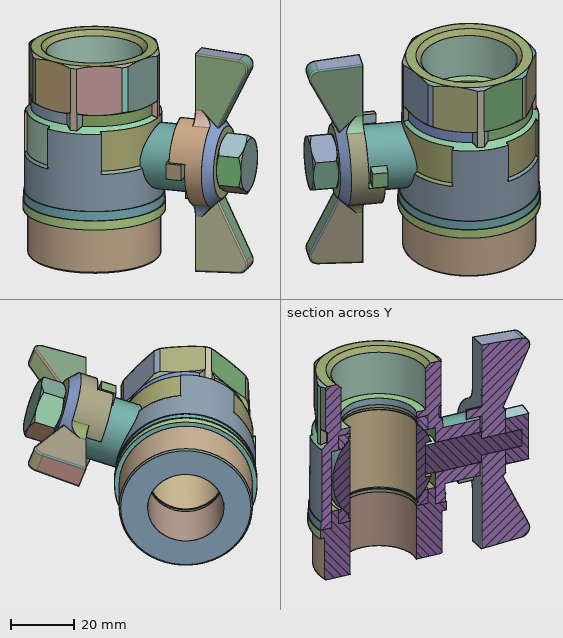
import cadquery as cq
import math


bore_r = 12.0
ball_r = 18.25
ball_half_height = math.sqrt(ball_r**2 - bore_r**2)
chamber_r = 18.5
chamber_half_height = 10.5
seat_r = 16.0
seat_far_z = 15.45
seat_relief_r = 12.5
seat_relief_z = 14.4

octagon_apothem = 20.0
octagon_corner_r = 21.25
octagon_bottom_z = 17.65
top_z = 34.0
neck_r = 20.0
neck_bottom_z = 14.0
barrel_r = 22.0
barrel_bottom_z = -13.5
collar_r = 22.25
collar_bottom_z = -16.5
thread_r = 30.29 / 2
thread_mouth_r = 33.5 / 2
thread_floor_z = 17.75
corner_chamfer_slope = math.tan(math.radians(30))
rib_tip_half_width = 1.1
rib_root_r = neck_r - 1
recess_floor_r = 21.25
recess_floor_z = -0.4
recess_edge_z = -1.3
recess_long_side = 9.5
recess_short_side = 7.85
boss_r = 10.5
boss_end_x = 34.2
lug_start_x = 27.15
lug_tip_start_x = 28.5
lug_end_x = 33.4
lug_tip_y = 14.5
lug_base_half_width = 2.8
lug_tip_half_width = 2.55

flange_r = 22.5
flange_bottom_z = -19.5
nipple_r = 21.0
nipple_bottom_z = -34.5
nipple_chamfer = 0.5

stem_r = 6.0
screw_r = 4.25
screw_end_x = 49.0
blade_start_x = 15.0
blade_thickness = 6.0

hub_r = 14.5
hub_start_x = 34.6
hub_end_x = 43.2
hub_chamfer = 3.0
skirt_start_x = 29.3
skirt_inner_r = 11.25
skirt_stop_z = 2.85
skirt_end_y = 2.6
wing_thickness = 7.0
wing_draft = 1.0
wing_half_span = 36.15
wing_shoulder_x = 49.5
wing_shoulder_z = 35.3
wing_tip_x = 51.8
wing_tip_z = 31.9
wing_root_x = 42.4
wing_root_z = 12.5
wing_corner_r = 3.0
wing_edge_r = 0.5
web_r = 5.0

nut_across_flats = 17.0
nut_start_x = hub_end_x
nut_end_x = 51.3


def cylinder_z(radius, z0, z1):
    return cq.Workplane("XY").workplane(offset=z0).circle(radius).extrude(z1 - z0)


def cylinder_x(radius, x0, x1):
    return cq.Workplane("YZ").workplane(offset=x0).circle(radius).extrude(x1 - x0)


def box_between(x0, x1, y0, y1, z0, z1):
    return cq.Workplane("XY").box(x1 - x0, y1 - y0, z1 - z0, centered=False).translate((x0, y0, z0))


def revolve_z(points):
    """Turn an outline of (radius, z) points about the Z axis."""
    return cq.Workplane("XZ").polyline(points).close().revolve(360, (0, 0, 0), (0, 1, 0))


def revolve_x(points):
    """Turn an outline of (x, radius) points about the X axis."""
    return cq.Workplane("XY").polyline(points).close().revolve(360, (0, 0, 0), (1, 0, 0))


def make_octagon():
    """Octagonal spanner grip with its corners turned down and its ends chamfered."""
    corner_drop = (octagon_corner_r - octagon_apothem) * corner_chamfer_slope
    envelope = revolve_z([
        (0, octagon_bottom_z),
        (octagon_apothem, octagon_bottom_z),
        (octagon_corner_r, octagon_bottom_z + corner_drop),
        (octagon_corner_r, top_z - corner_drop),
        (octagon_apothem, top_z),
        (0, top_z),
    ])
    prism = (
        cq.Workplane("XY")
        .workplane(offset=octagon_bottom_z)
        .polygon(8, 2 * octagon_apothem / math.cos(math.pi / 8))
        .extrude(top_z - octagon_bottom_z)
    )
    return prism.intersect(envelope)


def make_neck_ribs():
    """Four ribs with 45 degree flanks that carry the octagon corners down to the barrel."""
    rib_root_half_width = rib_tip_half_width + octagon_corner_r - rib_root_r
    rib_bottom_z = neck_bottom_z - (octagon_corner_r - neck_r)
    rib_top_z = octagon_bottom_z + 1
    rib = (
        cq.Workplane("XY")
        .workplane(offset=rib_bottom_z)
        .polyline([
            (rib_root_r, -rib_root_half_width),
            (octagon_corner_r, -rib_tip_half_width),
            (octagon_corner_r, rib_tip_half_width),
            (rib_root_r, rib_root_half_width),
        ])
        .close()
        .extrude(rib_top_z - rib_bottom_z)
    )
    ribs = rib
    for quarter in range(1, 4):
        ribs = ribs.union(rib.rotate((0, 0, 0), (0, 0, 1), 90 * quarter))
    return ribs.intersect(cylinder_z(octagon_corner_r, rib_bottom_z, rib_top_z))


def make_recess_cutter():
    """Shallow recesses in the barrel, open at the top: two on the -X side, one all round the +X side."""
    recess_slope = (recess_floor_z - recess_edge_z) / (barrel_r - recess_floor_r)
    outer_r = barrel_r + 1
    outer_z = recess_floor_z - recess_slope * (outer_r - recess_floor_r)
    ring = revolve_z([
        (recess_floor_r, recess_floor_z),
        (outer_r, outer_z),
        (outer_r, neck_bottom_z),
        (recess_floor_r, neck_bottom_z),
    ])
    corner = box_between(0, outer_r, -recess_long_side, recess_short_side, outer_z, neck_bottom_z)
    corner = corner.rotate((0, 0, 0), (0, 0, 1), 45)
    stem_side = box_between(0, outer_r, -boss_r, boss_r, outer_z, neck_bottom_z)
    window = corner.union(corner.mirror("YZ")).union(stem_side)
    window = window.union(window.mirror("XZ"))
    return ring.intersect(window)


def make_lug(side):
    """Handle stop on the boss, tapered towards its tip; side is +1 for +Y and -1 for -Y."""
    lug = (
        cq.Workplane("XZ")
        .center((lug_start_x + lug_end_x) / 2, 0)
        .rect(lug_end_x - lug_start_x, 2 * lug_base_half_width)
        .workplane(offset=lug_tip_y)
        .center((lug_tip_start_x - lug_start_x) / 2, 0)
        .rect(lug_end_x - lug_tip_start_x, 2 * lug_tip_half_width)
        .loft()
    )
    return lug if side < 0 else lug.mirror("XZ")


def make_housing():
    barrel = revolve_z([
        (0, collar_bottom_z),
        (collar_r, collar_bottom_z),
        (collar_r, barrel_bottom_z),
        (barrel_r, barrel_bottom_z),
        (barrel_r, neck_bottom_z - (barrel_r - neck_r)),
        (neck_r, neck_bottom_z),
        (neck_r, octagon_bottom_z),
        (0, octagon_bottom_z),
    ])
    outside = barrel.union(make_neck_ribs()).cut(make_recess_cutter()).union(make_octagon())
    outside = outside.union(cylinder_x(boss_r, 0, boss_end_x))
    for side in (-1, 1):
        outside = outside.union(make_lug(side))
    mouth_depth = thread_mouth_r - thread_r
    passage = revolve_z([
        (0, collar_bottom_z),
        (chamber_r, collar_bottom_z),
        (chamber_r, chamber_half_height),
        (seat_r, chamber_half_height),
        (seat_r, seat_far_z),
        (bore_r, seat_far_z),
        (bore_r, thread_floor_z),
        (thread_r, thread_floor_z),
        (thread_r, top_z - mouth_depth),
        (thread_mouth_r, top_z),
        (0, top_z),
    ])
    return outside.cut(passage).cut(cylinder_x(stem_r, 0, boss_end_x))


def make_nipple():
    """Threaded end piece whose spigot closes the ball chamber and holds the lower seat."""
    return revolve_z([
        (bore_r, nipple_bottom_z),
        (nipple_r - nipple_chamfer, nipple_bottom_z),
        (nipple_r, nipple_bottom_z + nipple_chamfer),
        (nipple_r, flange_bottom_z),
        (flange_r, flange_bottom_z),
        (flange_r, collar_bottom_z),
        (chamber_r, collar_bottom_z),
        (chamber_r, -chamber_half_height),
        (seat_r, -chamber_half_height),
        (seat_r, -seat_far_z),
        (bore_r, -seat_far_z),
    ])


def make_seat(side):
    """Seat ring resting on the ball; side is +1 for the upper and -1 for the lower seat."""
    ring = revolve_z([
        (bore_r, seat_far_z),
        (bore_r, seat_relief_z),
        (seat_relief_r, seat_relief_z),
        (seat_relief_r, chamber_half_height),
        (seat_r, chamber_half_height),
        (seat_r, seat_far_z),
    ])
    seat = ring.cut(cq.Workplane("XY").sphere(ball_r))
    return seat if side > 0 else seat.mirror("XY")


def make_ball():
    """Ball with the flow bore through it and a slot for the stem blade."""
    ball = (
        cq.Workplane("XZ")
        .moveTo(bore_r, -ball_half_height)
        .threePointArc((ball_r, 0), (bore_r, ball_half_height))
        .close()
        .revolve(360, (0, 0, 0), (0, 1, 0))
    )
    half = blade_thickness / 2
    slot = box_between(blade_start_x, ball_r, -half, half, -stem_r, stem_r)
    return ball.cut(slot)


def make_blade():
    """Flat tongue at the inner end of the stem, which turns the ball."""
    half = blade_thickness / 2
    tongue = box_between(blade_start_x, chamber_r, -half, half, -stem_r, stem_r)
    return tongue.intersect(cylinder_x(stem_r, blade_start_x, chamber_r))


def make_stem():
    shaft = cylinder_x(stem_r, chamber_r, hub_start_x)
    screw = cylinder_x(screw_r, hub_start_x, screw_end_x)
    return shaft.union(screw).union(make_blade())


def make_plate(half_span, end_x):
    """Plate across the stem axis, thickest at the back of the hub and tapering away from it."""
    back_half = wing_thickness / 2
    end_half = back_half - (end_x - hub_start_x) * math.tan(math.radians(wing_draft))
    return (
        cq.Workplane("XY")
        .workplane(offset=-half_span)
        .polyline([
            (hub_start_x, -back_half),
            (end_x, -end_half),
            (end_x, end_half),
            (hub_start_x, back_half),
        ])
        .close()
        .extrude(2 * half_span)
    )


def make_wings():
    """Both handle wings as one plate, rounded along its outer edges."""
    edge_slope = (wing_tip_x - wing_root_x) / (wing_tip_z - wing_root_z)
    top_slope = (wing_shoulder_z - wing_half_span) / (wing_shoulder_x - hub_start_x)
    axis_x = wing_root_x - edge_slope * wing_root_z
    corner_x = axis_x + edge_slope * (wing_half_span - top_slope * hub_start_x)
    corner_x /= 1 - edge_slope * top_slope
    corner_z = wing_half_span + top_slope * (corner_x - hub_start_x)
    outline = (
        cq.Workplane("XZ")
        .workplane(offset=-wing_thickness)
        .polyline([
            (hub_start_x, -wing_half_span),
            (hub_start_x, wing_half_span),
            (corner_x, corner_z),
            (axis_x, 0),
            (corner_x, -corner_z),
        ])
        .close()
        .extrude(2 * wing_thickness)
        .edges("|Y and >X")
        .fillet(wing_corner_r)
    )
    wings = outline.intersect(make_plate(wing_half_span, corner_x))
    return wings.faces("<Y or >Y").edges("not <X").fillet(wing_edge_r)


def make_hub():
    """Hub disc with rounded webs up to the wings, its front turned down to a cone."""
    web_reach = hub_r + web_r
    hub = cylinder_x(hub_r, hub_start_x, hub_end_x).union(make_plate(web_reach, hub_end_x))
    creases = cq.selectors.BoxSelector(
        (hub_start_x + 1, -wing_thickness, -hub_r), (hub_end_x - 1, wing_thickness, hub_r)
    )
    hub = hub.edges(creases).fillet(web_r)
    cone_front_r = hub_r - hub_chamfer
    cone_back_r = cone_front_r + hub_end_x - hub_start_x
    envelope = revolve_x([
        (hub_start_x, 0),
        (hub_start_x, cone_back_r),
        (hub_end_x, cone_front_r),
        (hub_end_x, 0),
    ])
    return hub.intersect(envelope)


def make_skirt():
    """Two opposite sectors behind the hub that swing between the lugs of the housing."""
    sleeve = cylinder_x(hub_r, skirt_start_x, hub_start_x)
    sleeve = sleeve.cut(cylinder_x(skirt_inner_r, skirt_start_x, hub_start_x))
    sector = sleeve.intersect(
        box_between(skirt_start_x, hub_start_x, -hub_r, -skirt_end_y, skirt_stop_z, hub_r)
    )
    return sector.union(sector.rotate((0, 0, 0), (1, 0, 0), 180))


def make_handle():
    handle = make_hub().union(make_wings()).union(make_skirt())
    return handle.cut(cylinder_x(screw_r, hub_start_x, hub_end_x))


def make_nut():
    """Hexagon nut with both ends chamfered, screwed onto the stem."""
    corner_r = nut_across_flats / math.sqrt(3)
    flat_r = nut_across_flats / 2
    drop = (corner_r - flat_r) * corner_chamfer_slope
    envelope = revolve_x([
        (nut_start_x, 0),
        (nut_start_x, flat_r),
        (nut_start_x + drop, corner_r),
        (nut_end_x - drop, corner_r),
        (nut_end_x, flat_r),
        (nut_end_x, 0),
    ])
    prism = (
        cq.Workplane("YZ")
        .workplane(offset=nut_start_x)
        .polygon(6, 2 * corner_r)
        .extrude(nut_end_x - nut_start_x)
        .rotate((0, 0, 0), (1, 0, 0), 30)
    )
    return prism.intersect(envelope).cut(cylinder_x(screw_r, nut_start_x, screw_end_x))


housing = make_housing()
nipple = make_nipple()
ball = make_ball()
seats = [make_seat(side) for side in (1, -1)]
stem = make_stem()
handle = make_handle()
nut = make_nut()

result = cq.Compound.makeCompound([
    housing.val(),
    nipple.val(),
    ball.val(),
    *[seat.val() for seat in seats],
    stem.val(),
    handle.val(),
    nut.val(),
])